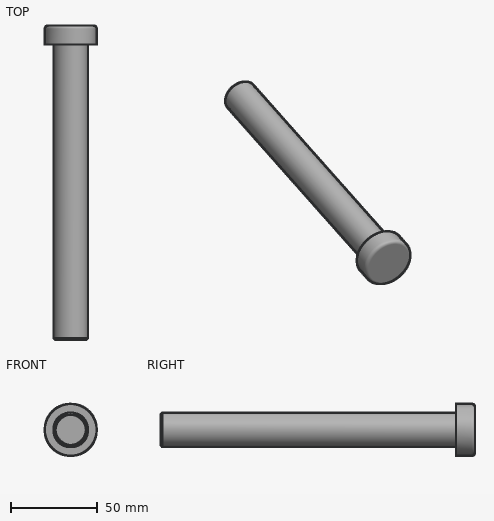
import cadquery as cq

total_length = 181.0
head_diameter = 30.0
head_length = 11.0
shank_diameter = 20.0
head_edge_radius = 2.0
tip_chamfer = 1.3

head_end = total_length / 2
tip_end = -total_length / 2
shoulder = head_end - head_length
head_radius = head_diameter / 2
shank_radius = shank_diameter / 2

half_section = (
    cq.Workplane("XY")
    .moveTo(0, tip_end)
    .lineTo(shank_radius, tip_end)
    .lineTo(shank_radius, shoulder)
    .lineTo(head_radius, shoulder)
    .lineTo(head_radius, head_end)
    .lineTo(0, head_end)
    .close()
)
pin = half_section.revolve(360, (0, 0, 0), (0, 1, 0))

pin = pin.faces(">Y").edges().fillet(head_edge_radius)
result = pin.faces("<Y").edges().chamfer(tip_chamfer)